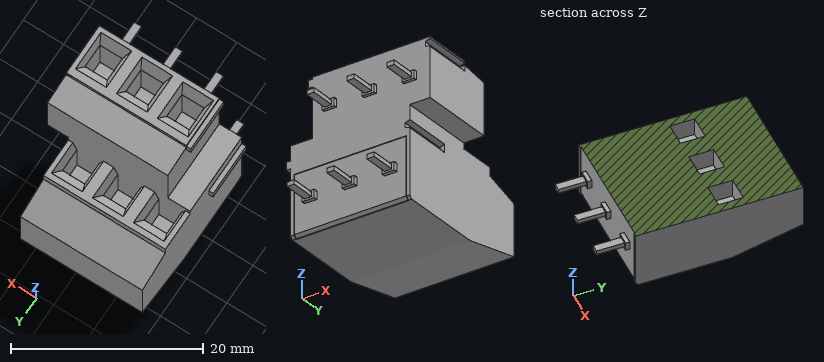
import cadquery as cq


pole_count = 3
pole_pitch = 5.09
first_pole_x = 2.5
tier_shift = pole_pitch / 2

lower_width = 15.17
lower_depth = 19.04
back_bottom_z = 1.8
back_top_z = 8.18
entry_top_z = 10.51
entry_back_y = 14.63
entry_step_z = 9.47
underside_end_y = 10.97
front_chamfer = 0.35

upper_left = 2.78
upper_right = 17.75
upper_depth = 9.88
upper_bottom_z = 11.2
top_z = 18.55
top_flat_depth = 6.33
slope_front_z = 18.05
slope_back_z = 17.57

rib_width = 0.55
rib_height = 0.97
groove_depth = 0.59
groove_inner_height = 0.5
lower_rib_z = 8.9
upper_rib_z = 17.82

panel_margin = 0.45
panel_top_z = 7.6
panel_recess = 0.1

entry_width = 3.82
entry_side_inset = 0.52
upper_entry_front = 0.57
upper_entry_back = 5.43
upper_entry_inset = 1.0
lower_entry_back = 13.95
lower_entry_inset = 1.31
upper_taper_depth = 0.8
lower_taper_depth = 1.33
shaft_depth = 5.65

lower_pin_z = 4.23
upper_pin_z = 14.43
collar_width = 1.55
collar_height = 1.02
collar_length = 0.38
pin_width = 0.93
pin_height = 0.55
overall_depth = 22.6
pin_length = overall_depth - lower_depth


def box(x0, x1, y0, y1, z0, z1):
    """Box between two opposite corners."""
    return cq.Workplane("XY").box(x1 - x0, y1 - y0, z1 - z0, centered=False).translate((x0, y0, z0))


def side_profile(points, x0, x1):
    """Extrude an outline of (y, z) points from x0 to x1."""
    return cq.Workplane("YZ", origin=(x0, 0, 0)).polyline(points).close().extrude(x1 - x0)


def pole_positions(first_x):
    return [first_x + pole_pitch * i for i in range(pole_count)]


def lower_tier():
    outline = [
        (front_chamfer, 0),
        (underside_end_y, 0),
        (lower_depth, back_bottom_z),
        (lower_depth, back_top_z),
        (entry_back_y, entry_step_z),
        (entry_back_y, entry_top_z),
        (upper_depth, entry_top_z),
        (upper_depth, upper_bottom_z),
        (0, upper_bottom_z),
        (0, front_chamfer),
    ]
    return side_profile(outline, 0, lower_width)


def upper_tier():
    outline = [
        (0, upper_bottom_z),
        (upper_depth, upper_bottom_z),
        (upper_depth, slope_back_z),
        (top_flat_depth, slope_front_z),
        (top_flat_depth, top_z),
        (0, top_z),
    ]
    return side_profile(outline, upper_left, upper_right)


def rib(side_x, center_z):
    half = rib_height / 2
    return box(side_x - rib_width, side_x, 0, top_flat_depth, center_z - half, center_z + half)


def groove(side_x, center_z):
    """Groove that narrows towards its floor and matches the length of a rib."""
    mouth = rib_height / 2
    floor = groove_inner_height / 2
    floor_x = side_x - groove_depth
    outline = [
        (side_x, center_z - mouth),
        (side_x, center_z + mouth),
        (floor_x, center_z + floor),
        (floor_x, center_z - floor),
    ]
    return cq.Workplane("XZ").polyline(outline).close().extrude(-top_flat_depth)


def front_panel():
    """Shallow recess that follows the front face and the bottom chamfer."""
    chamfer_end = front_chamfer + panel_recess
    outline = [
        (0, panel_top_z),
        (panel_recess, panel_top_z),
        (panel_recess, chamfer_end),
        (chamfer_end, panel_recess),
        (chamfer_end, 0),
        (0, 0),
    ]
    return side_profile(outline, panel_margin, lower_width - panel_margin)


def entry(center_x, y0, y1, z, front_inset, back_inset, taper_depth):
    """Tapered mouth opening at height z, followed by a straight shaft."""
    half = entry_width / 2
    inner_half = half - entry_side_inset
    inner_y0 = y0 + front_inset
    inner_y1 = y1 - back_inset
    mouth = (
        cq.Workplane("XY", origin=(center_x, 0, z))
        .polyline([(-half, y0), (half, y0), (half, y1), (-half, y1)])
        .close()
        .workplane(offset=-taper_depth)
        .polyline([
            (-inner_half, inner_y0),
            (inner_half, inner_y0),
            (inner_half, inner_y1),
            (-inner_half, inner_y1),
        ])
        .close()
        .loft(ruled=True)
    )
    shaft = box(
        center_x - inner_half, center_x + inner_half, inner_y0, inner_y1, z - shaft_depth, z - taper_depth
    )
    return mouth.union(shaft)


def pin(x, z):
    """Rectangular pin with a collar against the front face."""
    collar = box(
        x - collar_width / 2, x + collar_width / 2, -collar_length, panel_recess,
        z - collar_height / 2, z + collar_height / 2,
    )
    blade = box(
        x - pin_width / 2, x + pin_width / 2, -pin_length, panel_recess,
        z - pin_height / 2, z + pin_height / 2,
    )
    return collar.union(blade)


result = lower_tier().union(upper_tier())

for left, right, rib_z in ((0, lower_width, lower_rib_z), (upper_left, upper_right, upper_rib_z)):
    result = result.union(rib(left, rib_z)).cut(groove(right, rib_z))

result = result.cut(front_panel())

for x in pole_positions(first_pole_x):
    result = result.cut(entry(
        x, upper_depth, lower_entry_back, entry_top_z, 0, lower_entry_inset, lower_taper_depth
    ))
    result = result.union(pin(x, lower_pin_z))

for x in pole_positions(first_pole_x + tier_shift):
    result = result.cut(entry(
        x, upper_entry_front, upper_entry_back, top_z, upper_entry_inset, upper_entry_inset, upper_taper_depth
    ))
    result = result.union(pin(x, upper_pin_z))